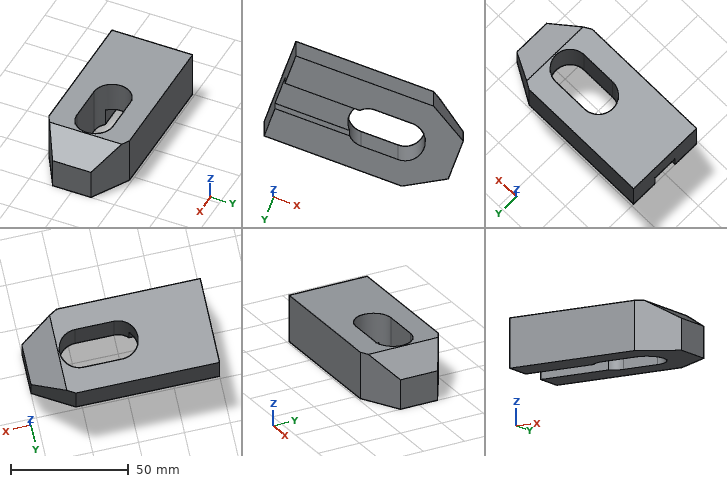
import cadquery as cq
import math

LENGTH = 80.0
WIDTH = 38.0
HEIGHT = 22.0

NOSE_WIDTH = 18.0
NOSE_HEIGHT = 14.0
TAPER_ANGLE = math.radians(30.0)
side_taper_length = (WIDTH - NOSE_WIDTH) / 2 / math.tan(TAPER_ANGLE)
top_taper_length = (HEIGHT - NOSE_HEIGHT) / math.tan(TAPER_ANGLE)

SLOT_START = 31.5
SLOT_LENGTH = 34.0
SLOT_WIDTH = 17.0
slot_center = SLOT_START + SLOT_LENGTH / 2

GROOVE_WIDTH = 12.0
GROOVE_DEPTH = 8.0


def tapered_plan():
    """Block whose sides converge to the nose width."""
    outline = [
        (0, -WIDTH / 2),
        (LENGTH - side_taper_length, -WIDTH / 2),
        (LENGTH, -NOSE_WIDTH / 2),
        (LENGTH, NOSE_WIDTH / 2),
        (LENGTH - side_taper_length, WIDTH / 2),
        (0, WIDTH / 2),
    ]
    return cq.Workplane("XY").polyline(outline).close().extrude(HEIGHT)


def nose_slope():
    """Wedge removed above the sloping top of the nose."""
    triangle = [
        (LENGTH - top_taper_length, HEIGHT),
        (LENGTH, HEIGHT),
        (LENGTH, NOSE_HEIGHT),
    ]
    return cq.Workplane("XZ").polyline(triangle).close().extrude(WIDTH / 2, both=True)


def bolt_slot():
    """Round-ended slot through the full height."""
    return (
        cq.Workplane("XY")
        .center(slot_center, 0)
        .slot2D(SLOT_LENGTH, SLOT_WIDTH)
        .extrude(HEIGHT)
    )


def guide_groove():
    """Rectangular groove ending inside the bolt slot."""
    return cq.Workplane("XY").box(
        slot_center, GROOVE_WIDTH, GROOVE_DEPTH, centered=(False, True, False)
    )


result = tapered_plan().cut(nose_slope()).cut(bolt_slot()).cut(guide_groove())